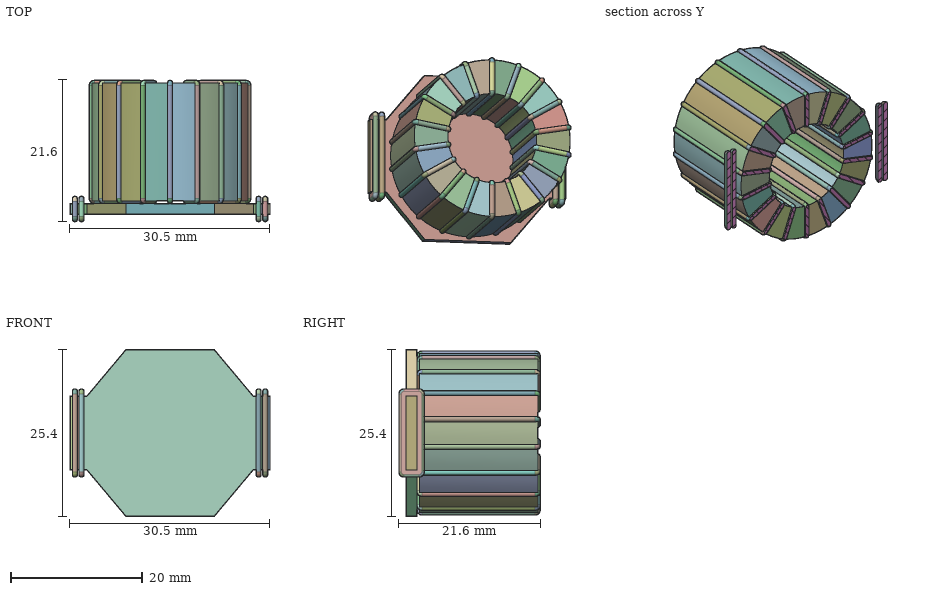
import cadquery as cq

base_length = 30.5
plate_size = 25.4
plate_thickness = 1.65
top_edge_length = 13.5
tab_height = 11.22

wire_radius = 0.4

tab_turn_overhang = 1.13
tab_turn_inset = 0.73
tab_turn_pitch = 1.0
tab_turn_count = 2

core_radius = 12.15
core_hole_radius = 6.9
core_length = 18.03
core_turn_count = 18

core_middle_y = wire_radius + core_length / 2


def wire_turn(width, height):
    """A closed turn of wire with its inside filled, centred on the origin in the XY plane.

    The wire's centre line is a width x height rectangle with its corners rounded to the wire radius.
    """
    web = (
        cq.Workplane("XY")
        .rect(width, height)
        .extrude(wire_radius, both=True)
        .edges("|Z")
        .fillet(wire_radius)
    )
    side = width / 2
    top = height / 2
    corner_x = side - wire_radius
    corner_y = top - wire_radius
    centre_line = (
        cq.Workplane("XY")
        .moveTo(0, -top)
        .lineTo(corner_x, -top)
        .radiusArc((side, -corner_y), -wire_radius)
        .lineTo(side, corner_y)
        .radiusArc((corner_x, top), -wire_radius)
        .lineTo(-corner_x, top)
        .radiusArc((-side, corner_y), -wire_radius)
        .lineTo(-side, -corner_y)
        .radiusArc((-corner_x, -top), -wire_radius)
        .close()
    )
    outer_half = (
        cq.Workplane("YZ")
        .moveTo(-top, -wire_radius)
        .threePointArc((-top - wire_radius, 0), (-top, wire_radius))
        .close()
        .sweep(centre_line)
    )
    return web.union(outer_half)


def make_base():
    flat = plate_size / 2
    top_corner = top_edge_length / 2
    side_corner = tab_height / 2
    octagon = [
        (top_corner, flat),
        (flat, side_corner),
        (flat, -side_corner),
        (top_corner, -flat),
        (-top_corner, -flat),
        (-flat, -side_corner),
        (-flat, side_corner),
        (-top_corner, flat),
    ]
    plate = cq.Workplane("XZ").polyline(octagon).close().extrude(plate_thickness)
    tabs = cq.Workplane("XZ").rect(base_length, tab_height).extrude(plate_thickness)
    base = plate.union(tabs)

    centre_line_margin = tab_turn_overhang - wire_radius
    turn = wire_turn(
        tab_height + 2 * centre_line_margin,
        plate_thickness + 2 * centre_line_margin,
    )
    upright_turn = turn.rotate((0, 0, 0), (0, 1, 0), 90).translate((0, -plate_thickness / 2, 0))
    for side in (-1, 1):
        for index in range(tab_turn_count):
            turn_x = base_length / 2 - tab_turn_inset - index * tab_turn_pitch
            base = base.union(upright_turn.translate((side * turn_x, 0, 0)))
    return base


def make_wound_core():
    core = (
        cq.Workplane("XZ")
        .circle(core_radius)
        .circle(core_hole_radius)
        .extrude(core_length / 2, both=True)
    )
    turn = wire_turn(core_radius - core_hole_radius, core_length)
    top_turn = (
        turn.translate(((core_radius + core_hole_radius) / 2, 0, 0))
        .rotate((0, 0, 0), (0, 1, 0), -90)
    )
    for index in range(core_turn_count):
        core = core.union(top_turn.rotate((0, 0, 0), (0, 1, 0), index * 360 / core_turn_count))
    return core.translate((0, core_middle_y, 0))


base = make_base()
wound_core = make_wound_core()

result = cq.Compound.makeCompound([base.solids().val(), wound_core.solids().val()])